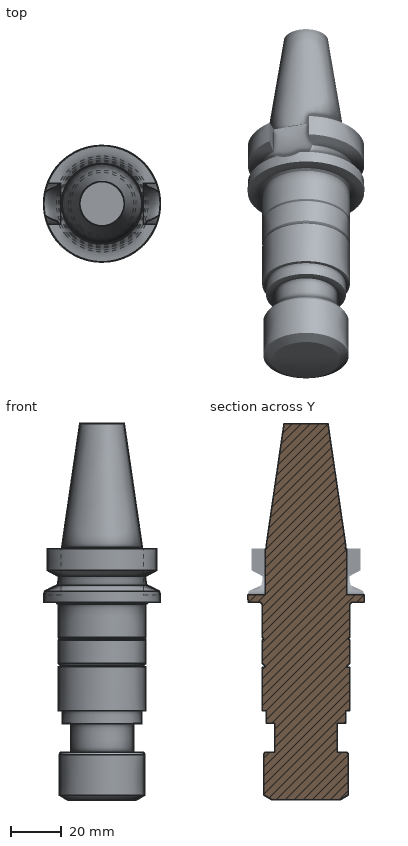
import cadquery as cq
import math


total_length = 148.6

gauge_diameter = 31.75
taper_ratio = 7 / 24
taper_length = 48.9
taper_top_diameter = gauge_diameter - taper_ratio * taper_length
taper_neck_diameter = 31.3

flange_diameter = 45.98
flange_top_level = -0.5
flange_bottom_level = -21.7
gripper_groove_level = -13.15
gripper_groove_diameter = 37.8
gripper_groove_mouth = 8.2
gripper_wall_angle = 30.0

slot_width = 16.2
slot_depth = 18.2
slot_face_offset = 16.25

body_diameter = 34.6
body_bottom_level = -64.5
root_chamfer = 0.8
upper_ring_level = -36.05
upper_ring_width = 1.0
lower_ring_top_level = -45.7
lower_ring_bottom_level = -47.1
lower_ring_floor_diameter = 32.5

collar_diameter = 31.5
collar_bottom_level = -69.5
neck_diameter = 24.87
nut_diameter = 33.7
nut_top_diameter = 32.5
nut_top_level = -80.7
nut_top_chamfer_height = 1.0
nut_bottom_diameter = 26.6
nut_bottom_level = taper_length - total_length
nut_chamfer_angle = 30.0


def revolved(stations):
    """Solid of revolution about Z through (diameter, level) stations listed from the top down."""
    top_level = stations[0][1]
    bottom_level = stations[-1][1]
    outline = [(0, top_level)]
    outline += [(diameter / 2, level) for diameter, level in stations]
    outline += [(0, bottom_level)]
    return cq.Workplane("XZ").polyline(outline).close().revolve(360, (0, 0, 0), (0, 1, 0))


def make_taper():
    return revolved([
        (taper_top_diameter, taper_length),
        (gauge_diameter, 0),
        (taper_neck_diameter, 0),
        (taper_neck_diameter, flange_top_level),
    ])


def make_flange():
    wall_depth = (flange_diameter - gripper_groove_diameter) / 2
    wall_height = wall_depth * math.tan(math.radians(gripper_wall_angle))
    half_mouth = gripper_groove_mouth / 2
    half_floor = half_mouth - wall_height
    return revolved([
        (flange_diameter, flange_top_level),
        (flange_diameter, gripper_groove_level + half_mouth),
        (gripper_groove_diameter, gripper_groove_level + half_floor),
        (gripper_groove_diameter, gripper_groove_level - half_floor),
        (flange_diameter, gripper_groove_level - half_mouth),
        (flange_diameter, flange_bottom_level),
    ])


def make_slot(side):
    """Round-bottomed cutter for the drive slot on the +X (side = 1) or -X (side = -1) side."""
    radius = slot_width / 2
    bottom_level = flange_top_level - slot_depth
    return (
        cq.Workplane("YZ", origin=(side * slot_face_offset, 0, 0))
        .moveTo(-radius, flange_top_level)
        .lineTo(-radius, bottom_level + radius)
        .threePointArc((0, bottom_level), (radius, bottom_level + radius))
        .lineTo(radius, flange_top_level)
        .close()
        .extrude(side * flange_diameter / 2)
    )


def v_groove(level, width):
    """Stations of a 90-degree V groove in the body, centred on the given level."""
    half_width = width / 2
    return [
        (body_diameter, level + half_width),
        (body_diameter - width, level),
        (body_diameter, level - half_width),
    ]


def undercut_groove():
    """Stations of the lower ring groove: a 45-degree upper wall, a narrow floor and a flat lower ledge."""
    depth = (body_diameter - lower_ring_floor_diameter) / 2
    return [
        (body_diameter, lower_ring_top_level),
        (lower_ring_floor_diameter, lower_ring_top_level - depth),
        (lower_ring_floor_diameter, lower_ring_bottom_level),
        (body_diameter, lower_ring_bottom_level),
    ]


def make_body():
    return revolved([
        (body_diameter + 2 * root_chamfer, flange_bottom_level),
        (body_diameter, flange_bottom_level - root_chamfer),
        *v_groove(upper_ring_level, upper_ring_width),
        *undercut_groove(),
        (body_diameter, body_bottom_level),
        (collar_diameter, body_bottom_level),
        (collar_diameter, collar_bottom_level),
        (neck_diameter, collar_bottom_level),
        (neck_diameter, nut_top_level),
    ])


def make_nut():
    bottom_chamfer_width = (nut_diameter - nut_bottom_diameter) / 2
    bottom_chamfer_height = bottom_chamfer_width * math.tan(math.radians(nut_chamfer_angle))
    return revolved([
        (nut_top_diameter, nut_top_level),
        (nut_diameter, nut_top_level - nut_top_chamfer_height),
        (nut_diameter, nut_bottom_level + bottom_chamfer_height),
        (nut_bottom_diameter, nut_bottom_level),
    ])


flange = make_flange()
for side in (1, -1):
    flange = flange.cut(make_slot(side))

result = make_taper().union(flange).union(make_body()).union(make_nut())